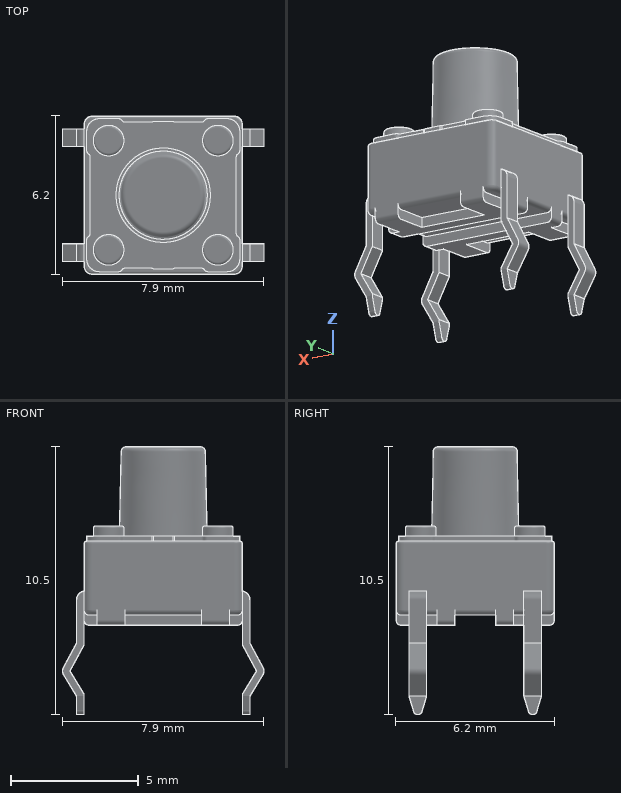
import math

import cadquery as cq


BODY_SIDE = 6.2
BODY_BOTTOM = 0.4
BODY_TOP = 3.3
BODY_CORNER_RADIUS = 0.32
BODY_TOP_ROUND = 0.1
BODY_BOTTOM_ROUND = 0.2
HALF_BODY = BODY_SIDE / 2

FOOT_ROUND = 0.2
FOOT_ROOT = BODY_BOTTOM + BODY_BOTTOM_ROUND
PAD_INNER = 1.5
PAD_OUTER = 2.6
RAIL_INNER = 0.8
RAIL_OUTER = PAD_INNER

PLATE_SIDE = 6.0
PLATE_THICKNESS = 0.2
PLATE_CORNER_RADIUS = 0.5
PLATE_TOP = BODY_TOP + PLATE_THICKNESS
NOTCH_DEPTH = 0.14
NOTCH_FLOOR_HALF_LENGTH = 1.5
NOTCH_FLOOR_ROUND = 0.13
NOTCH_EDGE_ROUND = 0.17
TAB_HALF_WIDTH = 0.375
TAB_SLANT = 0.07
TAB_HEIGHT = 0.035

POST_RADIUS = 0.6
POST_HEIGHT = 0.4
POST_OFFSET = 2.14
POST_ROUND = 0.1

BUTTON_TOP = 7.0
BUTTON_TOP_RADIUS = 1.65
BUTTON_BASE_RADIUS = 1.73
BUTTON_ROUND = 0.2
HOLE_RADIUS = 1.85

LEAD_THICKNESS = 0.3
LEAD_WIDTH = 0.7
LEAD_OFFSET = 2.25
LEAD_SHOULDER_RADIUS = 0.35
LEAD_SHOULDER_Z = 1.0
LEAD_ROOT = 0.3
LEAD_KNEE_OUT = 0.55
LEAD_UPPER_BEND_Z = -0.77
LEAD_KNEE_Z = -1.79
LEAD_LOWER_BEND_Z = -2.69
TIP_HALF_WIDTH = 0.18
TIP_ROUND_Z = -3.33
LEAD_END_Z = -3.5


def block(x_min, x_max, y_min, y_max, z_min, z_max):
    """Axis-aligned box given by its limits."""
    box = cq.Workplane("XY").box(x_max - x_min, y_max - y_min, z_max - z_min, centered=False)
    return box.translate((x_min, y_min, z_min))


def make_housing():
    housing = (
        cq.Workplane("XY")
        .workplane(offset=BODY_BOTTOM)
        .rect(BODY_SIDE, BODY_SIDE)
        .extrude(BODY_TOP - BODY_BOTTOM)
        .edges("|Z")
        .fillet(BODY_CORNER_RADIUS)
    )
    housing = housing.faces(">Z").edges().fillet(BODY_TOP_ROUND)
    return housing.faces("<Z").edges().fillet(BODY_BOTTOM_ROUND)


def make_feet():
    """Two rails along X, with pads that join them to the front and back walls."""
    rail = block(-HALF_BODY, HALF_BODY, RAIL_INNER, RAIL_OUTER, 0, FOOT_ROOT)
    rail = rail.edges("|Y and <Z").fillet(FOOT_ROUND)
    pad = block(PAD_INNER, PAD_OUTER, RAIL_INNER, HALF_BODY, 0, FOOT_ROOT)
    pad = pad.edges("|X and >Y and <Z").fillet(FOOT_ROUND)
    back_feet = rail.union(pad).union(pad.mirror("YZ"))
    return back_feet.union(back_feet.mirror("XZ"))


def make_notch():
    """Shallow notch in the -Y edge of the plate; two tangent arcs form each S-shaped end."""
    edge = -PLATE_SIDE / 2
    floor = edge + NOTCH_DEPTH
    both_rounds = NOTCH_FLOOR_ROUND + NOTCH_EDGE_ROUND
    sweep = math.acos(1 - NOTCH_DEPTH / both_rounds)
    edge_half_length = NOTCH_FLOOR_HALF_LENGTH + both_rounds * math.sin(sweep)

    def floor_arc(angle):
        """Point on the +X floor arc, measured from where it leaves the floor."""
        x = NOTCH_FLOOR_HALF_LENGTH + NOTCH_FLOOR_ROUND * math.sin(angle)
        y = floor - NOTCH_FLOOR_ROUND * (1 - math.cos(angle))
        return (x, y)

    def edge_arc(angle):
        """Point on the +X edge arc, measured from where it meets the plate edge."""
        x = edge_half_length - NOTCH_EDGE_ROUND * math.sin(angle)
        y = edge + NOTCH_EDGE_ROUND * (1 - math.cos(angle))
        return (x, y)

    half_notch = (
        cq.Workplane("XY")
        .workplane(offset=BODY_TOP)
        .moveTo(0, edge)
        .lineTo(0, floor)
        .lineTo(*floor_arc(0))
        .threePointArc(floor_arc(sweep / 2), floor_arc(sweep))
        .threePointArc(edge_arc(sweep / 2), edge_arc(0))
        .close()
        .extrude(PLATE_THICKNESS)
    )
    return half_notch.union(half_notch.mirror("YZ")).clean()


def make_notch_tab():
    """Low tab standing on the floor of the -Y notch."""
    floor = -PLATE_SIDE / 2 + NOTCH_DEPTH
    foot_half_width = TAB_HALF_WIDTH + TAB_SLANT
    return (
        cq.Workplane("XY")
        .workplane(offset=BODY_TOP)
        .moveTo(-foot_half_width, floor)
        .lineTo(-TAB_HALF_WIDTH, floor - TAB_HEIGHT)
        .lineTo(TAB_HALF_WIDTH, floor - TAB_HEIGHT)
        .lineTo(foot_half_width, floor)
        .close()
        .extrude(PLATE_THICKNESS)
    )


def make_plate():
    plate = (
        cq.Workplane("XY")
        .workplane(offset=BODY_TOP)
        .rect(PLATE_SIDE, PLATE_SIDE)
        .extrude(PLATE_THICKNESS)
        .edges("|Z")
        .fillet(PLATE_CORNER_RADIUS)
    )
    notch = make_notch()
    for quarter_turn in range(4):
        plate = plate.cut(notch.rotate((0, 0, 0), (0, 0, 1), 90 * quarter_turn))
    tab = make_notch_tab()
    plate = plate.union(tab).union(tab.mirror("XZ"))
    hole = cq.Workplane("XY").workplane(offset=BODY_TOP).circle(HOLE_RADIUS).extrude(PLATE_THICKNESS)
    return plate.cut(hole)


def make_posts():
    return (
        cq.Workplane("XY")
        .workplane(offset=PLATE_TOP)
        .rect(2 * POST_OFFSET, 2 * POST_OFFSET, forConstruction=True)
        .vertices()
        .circle(POST_RADIUS)
        .extrude(POST_HEIGHT)
        .faces(">Z")
        .edges()
        .fillet(POST_ROUND)
    )


def make_button():
    """Slightly tapered plunger standing on the housing inside the plate hole."""
    return (
        cq.Workplane("XZ")
        .moveTo(0, BODY_TOP)
        .lineTo(BUTTON_BASE_RADIUS, BODY_TOP)
        .lineTo(BUTTON_TOP_RADIUS, BUTTON_TOP)
        .lineTo(0, BUTTON_TOP)
        .close()
        .revolve(360, (0, 0, 0), (0, 1, 0))
        .faces(">Z")
        .edges()
        .fillet(BUTTON_ROUND)
    )


def make_lead():
    """Bent strip on the +X side, centred on Y = 0, with a tapered round tip."""
    inner = HALF_BODY
    outer = inner + LEAD_THICKNESS
    knee = inner + LEAD_KNEE_OUT
    upper_angle = math.atan2(LEAD_KNEE_OUT, LEAD_UPPER_BEND_Z - LEAD_KNEE_Z)
    lower_angle = math.atan2(LEAD_KNEE_OUT, LEAD_KNEE_Z - LEAD_LOWER_BEND_Z)
    outer_upper_bend_z = LEAD_UPPER_BEND_Z + LEAD_THICKNESS * math.tan(upper_angle / 2)
    outer_lower_bend_z = LEAD_LOWER_BEND_Z - LEAD_THICKNESS * math.tan(lower_angle / 2)

    def knee_point(angle):
        """Point on the outside of the knee, at an angle above the X direction."""
        x = knee + LEAD_THICKNESS * math.cos(angle)
        z = LEAD_KNEE_Z + LEAD_THICKNESS * math.sin(angle)
        return (x, z)

    shoulder_x = outer - LEAD_SHOULDER_RADIUS
    shoulder_top = LEAD_SHOULDER_Z + LEAD_SHOULDER_RADIUS
    shoulder_mid = LEAD_SHOULDER_RADIUS * math.sqrt(0.5)
    strip = (
        cq.Workplane("XZ")
        .moveTo(inner - LEAD_ROOT, shoulder_top)
        .lineTo(shoulder_x, shoulder_top)
        .threePointArc(
            (shoulder_x + shoulder_mid, LEAD_SHOULDER_Z + shoulder_mid),
            (outer, LEAD_SHOULDER_Z),
        )
        .lineTo(outer, outer_upper_bend_z)
        .lineTo(*knee_point(upper_angle))
        .threePointArc(knee_point(0), knee_point(-lower_angle))
        .lineTo(outer, outer_lower_bend_z)
        .lineTo(outer, LEAD_END_Z)
        .lineTo(inner, LEAD_END_Z)
        .lineTo(inner, LEAD_LOWER_BEND_Z)
        .lineTo(knee, LEAD_KNEE_Z)
        .lineTo(inner, LEAD_UPPER_BEND_Z)
        .lineTo(inner, LEAD_SHOULDER_Z)
        .lineTo(inner - LEAD_ROOT, LEAD_SHOULDER_Z)
        .close()
        .extrude(LEAD_WIDTH / 2, both=True)
    )
    face_outline = (
        cq.Workplane("YZ")
        .moveTo(-LEAD_WIDTH / 2, shoulder_top)
        .lineTo(-LEAD_WIDTH / 2, outer_lower_bend_z)
        .lineTo(-TIP_HALF_WIDTH, TIP_ROUND_Z)
        .threePointArc((0, LEAD_END_Z), (TIP_HALF_WIDTH, TIP_ROUND_Z))
        .lineTo(LEAD_WIDTH / 2, outer_lower_bend_z)
        .lineTo(LEAD_WIDTH / 2, shoulder_top)
        .close()
        .extrude(BODY_SIDE)
    )
    return strip.intersect(face_outline)


def make_switch():
    switch = make_housing()
    for piece in (make_feet(), make_plate(), make_posts(), make_button()):
        switch = switch.union(piece)
    right_lead = make_lead()
    for lead in (right_lead, right_lead.mirror("YZ")):
        for y in (-LEAD_OFFSET, LEAD_OFFSET):
            switch = switch.union(lead.translate((0, y, 0)))
    return switch


result = make_switch()